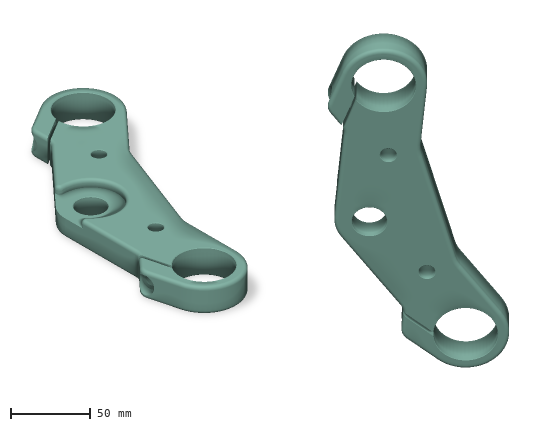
import cadquery as cq
import math

LENGTH = 257
THICKNESS = 20.0
EDGE_FILLET = 2.5

CLAMP_RADIUS = 27.5
CLAMP_X = LENGTH / 2 - CLAMP_RADIUS
CLAMP_Y = 36
NOSE_RADIUS = 22.0
REAR_Y = 45.0
ARM_ANGLE = 20
JAW_ANGLE = 35
REAR_BLEND = 20.5
JAW_TIP_RADIUS = 8.7
JAW_NOTCH_X = 73.0
JAW_NOTCH_RADIUS = 10.3

CLAMP_BORE_RADIUS = 20.3
STEM_BORE_RADIUS = 11.0
MOUNT_HOLE_RADIUS = 5.1
MOUNT_HOLE_X = 47.5
MOUNT_HOLE_Y = 25.0
BORE_CHAMFER = 0.39

POCKET_RADIUS = 22.4
POCKET_DEPTH = 5.7
POCKET_END_RADIUS = 3.0

SLIT_WIDTH = 2.3
SLIT_OFFSET = 13.0
BOLT_OFFSET = 27.0
BOLT_HOLE_RADIUS = 4.25
TAP_RADIUS = 3.3
TAP_DEPTH = 15.5
HEAD_RADIUS = 7.2
HEAD_DEPTH = 8.0


def direction(angle):
    """Unit vector at an angle in degrees from +X."""
    return cq.Vector(math.cos(math.radians(angle)), math.sin(math.radians(angle)))


def crossing(start_a, along_a, start_b, along_b):
    """Point where two lines in the XY plane cross."""
    gap = start_b - start_a
    distance = (gap.x * along_b.y - gap.y * along_b.x) / (along_a.x * along_b.y - along_a.y * along_b.x)
    return start_a + along_a * distance


CLAMP_CENTRE = cq.Vector(-CLAMP_X, CLAMP_Y)
SLIT_ALONG = direction(-JAW_ANGLE)
BOLT_ALONG = direction(90 - JAW_ANGLE)
ARM_DOWN = direction(-ARM_ANGLE)
ARM_UP = direction(ARM_ANGLE)


def xy(point):
    return (point.x, point.y)


def left_half():
    """Left half of the plate, before its horizontal edges are rounded."""
    nose_tangent = direction(270 - ARM_ANGLE) * NOSE_RADIUS
    front_offset = (JAW_NOTCH_X + nose_tangent.x) / ARM_DOWN.x
    notch = nose_tangent - ARM_DOWN * front_offset
    jaw_tangent = CLAMP_CENTRE - BOLT_ALONG * CLAMP_RADIUS
    jaw_tip = crossing(jaw_tangent, SLIT_ALONG, notch, ARM_UP)
    arm_tangent = CLAMP_CENTRE + direction(90 - ARM_ANGLE) * CLAMP_RADIUS
    rear_corner = crossing(arm_tangent, ARM_DOWN, cq.Vector(0, REAR_Y), cq.Vector(1, 0))
    half = (
        cq.Workplane("XY")
        .moveTo(0, REAR_Y)
        .lineTo(*xy(rear_corner))
        .lineTo(*xy(arm_tangent))
        .threePointArc((-LENGTH / 2, CLAMP_Y), xy(jaw_tangent))
        .lineTo(*xy(jaw_tip))
        .lineTo(*xy(notch))
        .lineTo(*xy(nose_tangent))
        .threePointArc(xy(direction(270 - ARM_ANGLE / 2) * NOSE_RADIUS), (0, -NOSE_RADIUS))
        .close()
        .extrude(THICKNESS)
    )
    corners = ((rear_corner, REAR_BLEND), (jaw_tip, JAW_TIP_RADIUS), (notch, JAW_NOTCH_RADIUS))
    for corner, radius in corners:
        half = half.edges(cq.NearestToPointSelector((corner.x, corner.y, THICKNESS / 2))).fillet(radius)
    return half


def pocket():
    """Round pocket whose walls run on as tangent lines through the front sides."""
    left_tangent = direction(180 + ARM_ANGLE) * POCKET_RADIUS
    walls_meet_y = -POCKET_RADIUS / math.sin(math.radians(ARM_ANGLE))
    return (
        cq.Workplane("XY")
        .workplane(offset=THICKNESS - POCKET_DEPTH)
        .moveTo(*xy(left_tangent))
        .threePointArc((0, POCKET_RADIUS), (-left_tangent.x, left_tangent.y))
        .lineTo(0, walls_meet_y)
        .close()
        .extrude(POCKET_DEPTH)
    )


def blank():
    """Whole plate with the nose pocket and all its horizontal edges rounded."""
    half = left_half()
    plate = half.union(half.mirror("YZ")).clean().cut(pocket())

    wall_end = crossing(
        direction(180 + ARM_ANGLE) * POCKET_RADIUS,
        direction(ARM_ANGLE - 90),
        direction(270 - ARM_ANGLE) * NOSE_RADIUS,
        ARM_DOWN,
    )
    for x in (wall_end.x, -wall_end.x):
        end_edge = cq.NearestToPointSelector((x, wall_end.y, THICKNESS - POCKET_DEPTH / 2))
        plate = plate.edges(end_edge).fillet(POCKET_END_RADIUS)
    return plate.faces("<Z or >Z").edges().fillet(EDGE_FILLET)


def bore(x, y, radius, top):
    """Through bore cutter with a small chamfer at both mouths."""
    mouth = radius + BORE_CHAMFER
    return (
        cq.Workplane("XZ")
        .polyline([
            (0, 0),
            (mouth, 0),
            (radius, BORE_CHAMFER),
            (radius, top - BORE_CHAMFER),
            (mouth, top),
            (0, top),
        ])
        .close()
        .revolve(360, (0, 0), (0, 1))
        .translate((x, y, 0))
    )


def slit():
    """Left slit from the clamp bore out through the front side."""
    centre = CLAMP_CENTRE - BOLT_ALONG * SLIT_OFFSET
    length = 2 * CLAMP_RADIUS
    return (
        cq.Workplane("XY")
        .rect(length, SLIT_WIDTH)
        .extrude(THICKNESS)
        .translate((length / 2, 0, 0))
        .rotate((0, 0, 0), (0, 0, 1), -JAW_ANGLE)
        .translate(centre)
    )


def bolt_hole():
    """Left clamp bolt: head recess, clearance hole to the slit, tapped hole beyond it."""
    face_point = CLAMP_CENTRE - BOLT_ALONG * CLAMP_RADIUS + SLIT_ALONG * BOLT_OFFSET
    mouth = cq.Vector(face_point.x, face_point.y, THICKNESS / 2)
    slit_depth = CLAMP_RADIUS - SLIT_OFFSET

    def drill(radius, start, end):
        return cq.Solid.makeCylinder(radius, end - start, mouth + BOLT_ALONG * start, BOLT_ALONG)

    head = drill(HEAD_RADIUS, -HEAD_RADIUS, HEAD_DEPTH)
    clearance = drill(BOLT_HOLE_RADIUS, 0, slit_depth)
    tapped = drill(TAP_RADIUS, 0, slit_depth + SLIT_WIDTH / 2 + TAP_DEPTH)
    return cq.Workplane(head).union(cq.Workplane(clearance)).union(cq.Workplane(tapped))


result = blank().cut(bore(0, 0, STEM_BORE_RADIUS, THICKNESS - POCKET_DEPTH))

left_cutters = (
    bore(-CLAMP_X, CLAMP_Y, CLAMP_BORE_RADIUS, THICKNESS),
    bore(-MOUNT_HOLE_X, MOUNT_HOLE_Y, MOUNT_HOLE_RADIUS, THICKNESS),
    slit(),
    bolt_hole(),
)
for cutter in left_cutters:
    result = result.cut(cutter).cut(cutter.mirror("YZ"))